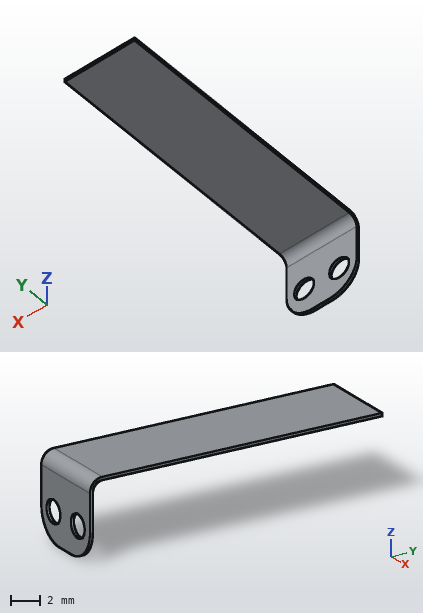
import cadquery as cq

width = 6.35
length = 23.65
height = 6.35

thickness = 0.254
inner_bend_radius = 0.762
outer_bend_radius = inner_bend_radius + thickness

tab_corner_radius = 2.381
hole_diameter = 1.78
hole_spacing = width / 2
hole_height = tab_corner_radius



def bent_strip():
    """L-shaped strip: a long horizontal leg and a short tab bent down at the front."""
    profile = (
        cq.Workplane("YZ")
        .moveTo(0, 0)
        .lineTo(0, height - outer_bend_radius)
        .radiusArc((outer_bend_radius, height), outer_bend_radius)
        .lineTo(length, height)
        .lineTo(length, height - thickness)
        .lineTo(outer_bend_radius, height - thickness)
        .radiusArc((thickness, height - outer_bend_radius), -inner_bend_radius)
        .lineTo(thickness, 0)
        .close()
    )
    return profile.extrude(width / 2, both=True)


def round_tab_corners(strip):
    """Round the two bottom corners of the tab."""
    return strip.faces("<Z").edges("|Y").fillet(tab_corner_radius)


def tab_holes():
    """Cutters for the pair of through holes in the tab."""
    return (
        cq.Workplane("XZ")
        .pushPoints([(side * hole_spacing / 2, hole_height) for side in (-1, 1)])
        .circle(hole_diameter / 2)
        .extrude(-thickness)
    )


result = round_tab_corners(bent_strip()).cut(tab_holes())